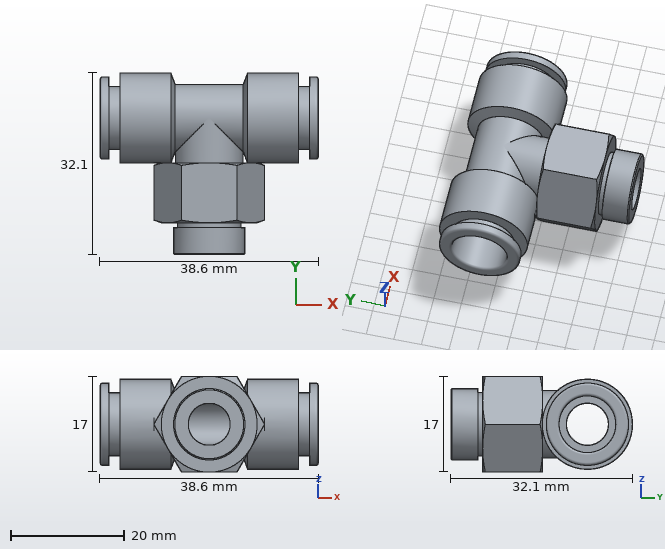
import cadquery as cq
import math

overall_length = 38.6
run_end = overall_length / 2
tube_radius = 6.0
body_radius = 8.0
body_cone_start = 6.02
body_inner = 6.8
body_outer = 15.83
neck_radius = 5.6
flange_inner = 17.75
flange_radius = 7.3
flange_rounding = 0.45
socket_radius = 5.0
socket_floor = body_inner
bore_radius = 3.7

nut_back = 7.9
nut_front = 18.53
nut_across_flats = 17.0
nut_across_corners = nut_across_flats / math.cos(math.pi / 6)
nut_chamfer_depth = 0.45
groove_radius = 5.65
thread_start = 19.38
thread_end = 24.15
thread_radius = 6.33
thread_chamfer = 0.25


def run_cylinder(radius, start, end):
    return cq.Workplane("YZ").workplane(offset=start).circle(radius).extrude(end - start)


def branch_cylinder(radius, start, end):
    """Cylinder along -Y, with start and end as distances from the run axis."""
    return cq.Workplane("XZ").workplane(offset=start).circle(radius).extrude(end - start)


def push_in_end():
    """Right-hand end: coned body, neck and rounded release flange, all revolved about X."""
    profile = (
        cq.Workplane("XY")
        .moveTo(body_cone_start, 0)
        .lineTo(body_cone_start, tube_radius)
        .lineTo(body_inner, body_radius)
        .lineTo(body_outer, body_radius)
        .lineTo(body_outer, neck_radius)
        .lineTo(flange_inner, neck_radius)
        .lineTo(flange_inner, flange_radius)
        .lineTo(run_end, flange_radius)
        .lineTo(run_end, 0)
        .close()
    )
    end = profile.revolve(360, (0, 0, 0), (1, 0, 0))
    end = end.cut(run_cylinder(socket_radius, socket_floor, run_end))
    return end.faces(">X").edges().fillet(flange_rounding)


def hexagon_nut():
    """Hexagon with its corners turned down by a shallow cone at both faces."""
    hexagon = (
        cq.Workplane("XZ")
        .workplane(offset=nut_back)
        .polygon(6, nut_across_corners)
        .extrude(nut_front - nut_back)
    )
    face_radius = nut_across_flats / 2
    corner_radius = nut_across_corners / 2
    envelope = (
        cq.Workplane("XY")
        .moveTo(0, -nut_back)
        .lineTo(face_radius, -nut_back)
        .lineTo(corner_radius, -nut_back - nut_chamfer_depth)
        .lineTo(corner_radius, -nut_front + nut_chamfer_depth)
        .lineTo(face_radius, -nut_front)
        .lineTo(0, -nut_front)
        .close()
        .revolve(360, (0, 0, 0), (0, 1, 0))
    )
    return hexagon.intersect(envelope)


def nut_seat():
    """Clearance that trims the bodies flat at the back face of the nut."""
    depth = nut_front - nut_back
    return cq.Workplane("XY").box(nut_across_corners, depth, nut_across_flats).translate(
        (0, -nut_back - depth / 2, 0)
    )


def threaded_end():
    thread = branch_cylinder(thread_radius, thread_start, thread_end)
    return thread.faces("<Y").edges().chamfer(thread_chamfer)


right_end = push_in_end()
run = run_cylinder(tube_radius, -body_cone_start, body_cone_start)
run = run.union(right_end).union(right_end.mirror("YZ"))
run = run.cut(nut_seat())

result = (
    run.union(branch_cylinder(tube_radius, 0, nut_back))
    .union(hexagon_nut())
    .union(branch_cylinder(groove_radius, nut_front, thread_start))
    .union(threaded_end())
    .cut(run_cylinder(bore_radius, -run_end, run_end))
    .cut(branch_cylinder(bore_radius, 0, thread_end))
)